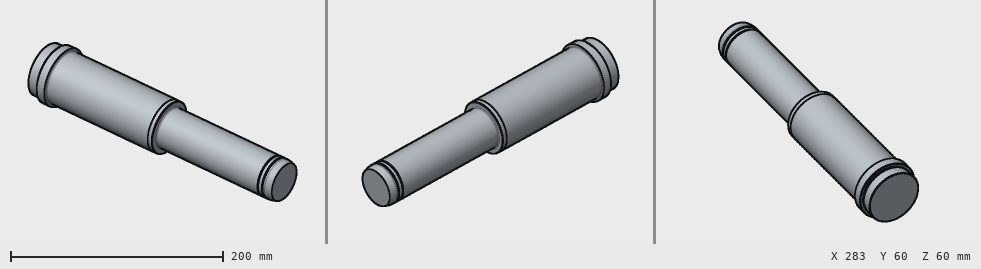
import cadquery as cq

total_length = 283.0
body_diameter = 54.0
flange_diameter = 60.0
spigot_diameter = 42.0

relief_start = 10.5
flange_start = 12.2
flange_end = 21.5
pilot_start = 141.8
body_end = 147.0
nose_start = 275.5

relief_depth = 0.15
flange_fillet = 0.7
pilot_step = 0.15
edge_chamfer = 0.42
spigot_fillet = 0.8
groove_starts = (267.2, 272.2)
groove_width = 0.8
groove_depth = 0.3
nose_drop = 1.7
nose_bulge = 0.42

body_radius = body_diameter / 2
flange_radius = flange_diameter / 2
spigot_radius = spigot_diameter / 2
pilot_radius = body_radius - pilot_step
nose_radius = spigot_radius - nose_drop
nose_middle = (
    (nose_start + total_length) / 2,
    (spigot_radius + nose_radius) / 2 + nose_bulge,
)
fillet_middle = 1 - 0.5**0.5


def concave_fillet(outline, face_x, radius, fillet):
    """Run down the face at face_x and round into the cylinder beyond it."""
    middle = (face_x + fillet * fillet_middle, radius + fillet * fillet_middle)
    return outline.lineTo(face_x, radius + fillet).threePointArc(middle, (face_x + fillet, radius))


def cut_ring(solid, start, width, radius, depth):
    """Cut a square groove of the given depth around a cylinder."""
    plane = cq.Workplane("YZ", origin=(start, 0, 0))
    ring = plane.circle(flange_radius).circle(radius - depth).extrude(width)
    return solid.cut(ring)


outline = (
    cq.Workplane("XY")
    .lineTo(0, body_radius - edge_chamfer)
    .lineTo(edge_chamfer, body_radius)
    .lineTo(flange_start, body_radius)
    .lineTo(flange_start, flange_radius - edge_chamfer)
    .lineTo(flange_start + edge_chamfer, flange_radius)
    .lineTo(flange_end, flange_radius)
)
outline = concave_fillet(outline, flange_end, body_radius, flange_fillet)
outline = (
    outline.lineTo(pilot_start, body_radius)
    .lineTo(pilot_start, pilot_radius)
    .lineTo(body_end - edge_chamfer, pilot_radius)
    .lineTo(body_end, pilot_radius - edge_chamfer)
)
outline = concave_fillet(outline, body_end, spigot_radius, spigot_fillet)
outline = (
    outline.lineTo(nose_start, spigot_radius)
    .threePointArc(nose_middle, (total_length, nose_radius))
    .lineTo(total_length, 0)
    .close()
)
result = outline.revolve(360, (0, 0, 0), (1, 0, 0))

result = cut_ring(result, relief_start, flange_start - relief_start, body_radius, relief_depth)

for groove_start in groove_starts:
    result = cut_ring(result, groove_start, groove_width, spigot_radius, groove_depth)